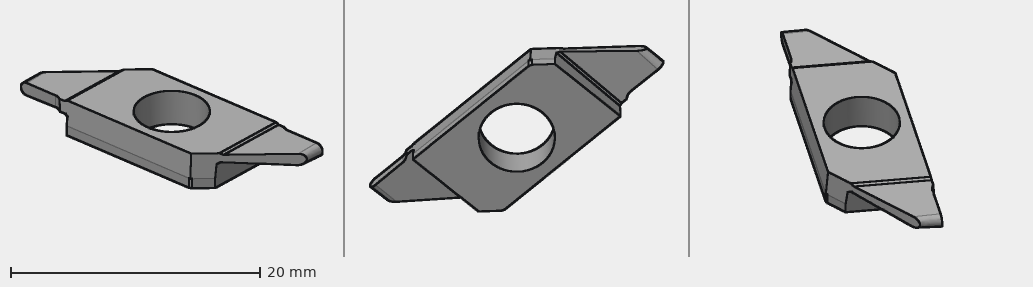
import cadquery as cq
import math

length = 24.95
width = 8.3
height = 3.2
bore_diameter = 6.1

base_height = 0.92
flank_draft = 5.0
diagonal_angle = 40.0
top_corner_x = 5.15
base_corner_chamfer = 0.15

skew = math.tan(math.radians(6.0))
wing_top = 3.05
tip_bottom = 1.85
root_bottom = 1.95
underside_rise = math.tan(math.radians(4.0))
cutting_side_y = 3.77
end_wall_x = 7.43
root_chamfer = 0.2
step_outer_x = 7.78
step_inner_x = 7.53

relief_start_x = 8.9
relief_radius = 0.8
relief_run_out_angle = 32.0

section_y = 5.0
margin = 2.5

draft_height = height - base_height
draft_inset = draft_height * math.tan(math.radians(flank_draft))
half_width = width / 2


def outline_points():
    """Base parallelogram whose drafted top passes through the top corner."""
    slope = math.tan(math.radians(diagonal_angle))
    inset_along_x = draft_inset / math.sin(math.radians(diagonal_angle))
    top_half_width = half_width - draft_inset
    diagonal_x = top_corner_x + top_half_width / slope + inset_along_x
    near_x = diagonal_x - half_width / slope
    far_x = diagonal_x + half_width / slope
    return [(-far_x, -half_width), (near_x, -half_width), (far_x, half_width), (-near_x, half_width)]


def make_outline():
    points = outline_points()
    blunt_corners = cq.selectors.NearestToPointSelector((*points[1], base_height / 2))
    blunt_corners += cq.selectors.NearestToPointSelector((*points[3], base_height / 2))
    base = cq.Workplane("XY").polyline(points).close().extrude(base_height)
    base = base.edges(blunt_corners).chamfer(base_corner_chamfer)
    flanks = cq.Workplane("XY").workplane(offset=base_height).polyline(points).close()
    return base.union(flanks.extrude(draft_height, taper=flank_draft))


def half_section(y):
    """Lengthwise section of the -X half at a given y."""
    from_cutting_side = y + cutting_side_y
    shift = skew * from_cutting_side
    rise = underside_rise * from_cutting_side
    tip_x = -length / 2 + shift
    nose_bottom = tip_bottom + rise
    under = root_bottom + rise
    nose_radius = (wing_top - nose_bottom) / 2
    wall_x = -end_wall_x + shift
    middle_x = skew * y
    return (
        cq.Workplane("XZ", origin=(0, y, 0))
        .moveTo(middle_x, 0)
        .lineTo(middle_x, height)
        .lineTo(-step_inner_x + shift, height)
        .lineTo(-step_outer_x + shift, wing_top)
        .lineTo(tip_x + nose_radius, wing_top)
        .threePointArc((tip_x, wing_top - nose_radius), (tip_x + nose_radius, nose_bottom))
        .lineTo(wall_x - root_chamfer, under)
        .lineTo(wall_x, under - root_chamfer)
        .lineTo(wall_x, 0)
        .close()
        .wire()
        .val()
    )


def make_half():
    sections = [half_section(-section_y), half_section(section_y)]
    return cq.Workplane(cq.Solid.makeLoft(sections, True))


def make_side_relief():
    """Cut beside the -X wing, curving out through the body flank."""
    angle = math.radians(relief_run_out_angle)

    def arc_point(turn):
        x = -relief_start_x + relief_radius * math.sin(turn)
        y = -cutting_side_y - relief_radius * (1 - math.cos(turn))
        return (x, y)

    arc_end_x, arc_end_y = arc_point(angle)
    outer_y = -half_width - margin
    run_out_x = arc_end_x + (arc_end_y - outer_y) / math.tan(angle)
    return (
        cq.Workplane("XY")
        .moveTo(-length, -cutting_side_y)
        .lineTo(-relief_start_x, -cutting_side_y)
        .threePointArc(arc_point(angle / 2), (arc_end_x, arc_end_y))
        .lineTo(run_out_x, outer_y)
        .lineTo(-length, outer_y)
        .close()
        .extrude(height)
    )


def half_turn(shape):
    return shape.rotate((0, 0, 0), (0, 0, 1), 180)


half = make_half()
relief = make_side_relief()
bore = cq.Workplane("XY").circle(bore_diameter / 2).extrude(height)

insert = half.union(half_turn(half)).intersect(make_outline())
result = insert.cut(relief).cut(half_turn(relief)).cut(bore)